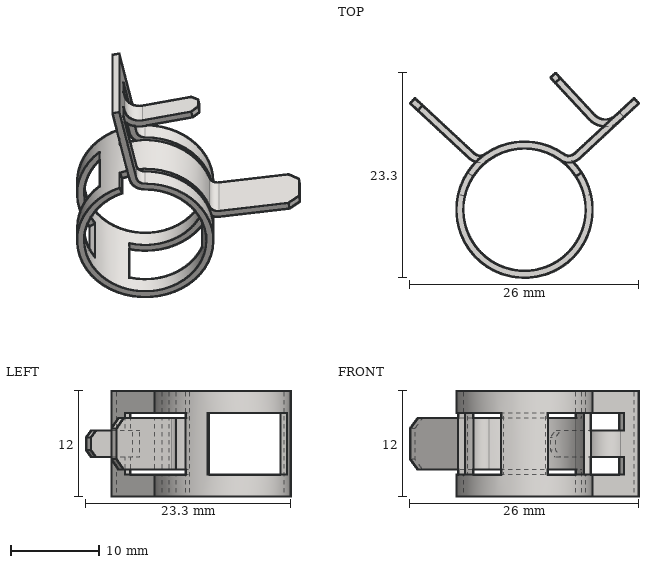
import cadquery as cq
import math


thickness = 0.8
band_width = 12.0
ring_outer = 7.75
ring_inner = ring_outer - thickness
band_end_angle = 33

leg_angle = 42.9
overall_length = 26
leg_reach = overall_length / 2 / math.cos(math.radians(leg_angle))
bend_radius = 1.0
tongue_width = 5.88
tongue_chamfer = 1.2

window_height = 7.0
side_window_start = -70
side_window_end = 13
slot_edge_angle = 180 - band_end_angle
leg_frame = 2.31
slot_reach = leg_reach - leg_frame

catch_width = 3.05
catch_root = 0.57
catch_bend_radius = 1.7
catch_top = 15.55
catch_chamfer = 0.8

bend_centre_reach = ring_outer + bend_radius
bend_offset = math.degrees(math.asin((thickness + bend_radius) / bend_centre_reach))
bend_angle = leg_angle + bend_offset
bend_start = bend_centre_reach * math.cos(math.radians(bend_offset))


def polar(radius, angle):
    """Point at a radius and angle about the ring axis."""
    a = math.radians(angle)
    return (radius * math.cos(a), radius * math.sin(a))


def on_leg(along, above):
    """Point at a distance along the leg and a height above its ring-side face."""
    x, y = polar(along, leg_angle)
    dx, dy = polar(above, leg_angle + 90)
    return (x + dx, y + dy)


def on_bend(radius, angle):
    """Point on the bend between ring and leg, at an angle about the bend centre."""
    x, y = polar(bend_centre_reach, bend_angle)
    dx, dy = polar(radius, angle)
    return (x + dx, y + dy)


def extrude_centred(outline, height):
    """Extrude an outline equally above and below Z = 0."""
    return outline.extrude(height / 2, both=True)


def ring_and_leg(end_angle, width):
    """Strip that runs counterclockwise from the right-hand leg to end_angle on the ring."""
    middle_angle = (bend_angle + end_angle) / 2
    facing_ring = bend_angle + 180
    facing_leg = leg_angle + 270
    bend_middle = (facing_ring + facing_leg) / 2
    outline = (
        cq.Workplane("XY")
        .moveTo(*polar(ring_inner, end_angle))
        .threePointArc(polar(ring_inner, middle_angle), polar(ring_inner, bend_angle))
        .threePointArc(on_bend(bend_radius + thickness, bend_middle), on_leg(bend_start, 0))
        .lineTo(*on_leg(leg_reach, 0))
        .lineTo(*on_leg(leg_reach, thickness))
        .lineTo(*on_leg(bend_start, thickness))
        .threePointArc(on_bend(bend_radius, bend_middle), polar(ring_outer, bend_angle))
        .threePointArc(polar(ring_outer, middle_angle), polar(ring_outer, end_angle))
        .close()
    )
    return extrude_centred(outline, width)


def chamfer_tip(body, tip_point, size):
    """Cut both corners of the end face nearest to tip_point."""
    tip = cq.NearestToPointSelector((*tip_point, 0))
    return body.faces(tip).edges("#Z").chamfer(size)


def side_window(start_angle, end_angle):
    """Wedge that opens the ring between two angles."""
    reach = 2 * ring_outer
    outline = (
        cq.Workplane("XY")
        .polyline([(0, 0), polar(reach, start_angle), polar(reach, end_angle)])
        .close()
    )
    return extrude_centred(outline, window_height)


def crossing_slot():
    """Opening from the left of the ring, round the bend and into the wide leg."""
    clearance = 2 * thickness
    outline = (
        cq.Workplane("XY")
        .polyline([
            (0, 0),
            on_leg(slot_reach, -thickness),
            on_leg(slot_reach, thickness + clearance),
            polar(slot_reach, slot_edge_angle),
        ])
        .close()
    )
    return extrude_centred(outline, window_height)


def catch():
    """Small tab that leaves the slot end, turns through 90 degrees and stands off the leg."""
    bend_along = slot_reach - catch_root
    centre_above = thickness + catch_bend_radius
    outer_radius = catch_bend_radius + thickness
    diagonal = math.sqrt(0.5)
    inner_face = bend_along - catch_bend_radius
    outer_face = bend_along - outer_radius
    root_rise = inner_face * math.sin(math.radians(leg_angle))
    tip_above = (catch_top - root_rise) / math.cos(math.radians(leg_angle))

    def bend_middle(radius):
        return on_leg(bend_along - radius * diagonal, centre_above - radius * diagonal)

    outline = (
        cq.Workplane("XY")
        .moveTo(*on_leg(slot_reach, 0))
        .lineTo(*on_leg(bend_along, 0))
        .threePointArc(bend_middle(outer_radius), on_leg(outer_face, centre_above))
        .lineTo(*on_leg(outer_face, tip_above))
        .lineTo(*on_leg(inner_face, tip_above))
        .lineTo(*on_leg(inner_face, centre_above))
        .threePointArc(bend_middle(catch_bend_radius), on_leg(bend_along, thickness))
        .lineTo(*on_leg(slot_reach, thickness))
        .close()
    )
    tip_middle = on_leg((inner_face + outer_face) / 2, tip_above)
    return chamfer_tip(extrude_centred(outline, catch_width), tip_middle, catch_chamfer)


band = ring_and_leg(360 + band_end_angle, band_width)
band = band.cut(crossing_slot())
band = band.cut(side_window(side_window_start, side_window_end))
band = band.cut(side_window(180 - side_window_end, 180 - side_window_start))

tongue = ring_and_leg(180 - band_end_angle, tongue_width)
tongue = chamfer_tip(tongue, on_leg(leg_reach, thickness / 2), tongue_chamfer)
tongue = tongue.rotate((0, 0, 0), (0, 1, 0), 180)

result = band.union(tongue).union(catch())